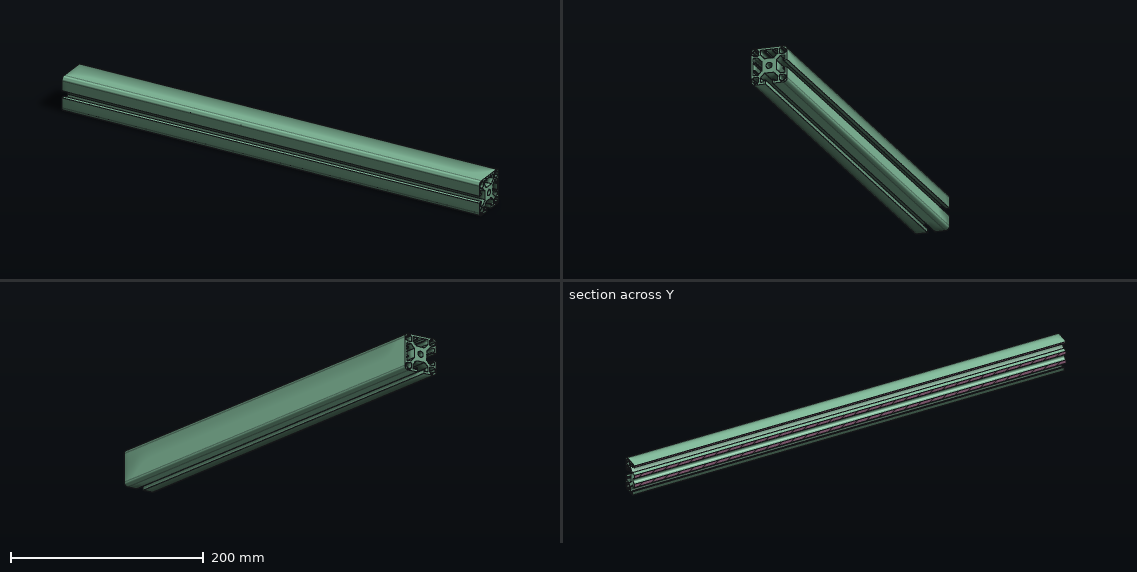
import cadquery as cq

length = 500.0
side = 40.0
half = side / 2
corner_radius = 4.5

wall = 2.5
mouth_half = 4.0
hook_width = 1.5
hook_depth = 2.0
slot_half = 9.5
slot_floor = 8.0
floor_half = 5.0
slot_ceiling = half - wall
slot_corner_radius = 1.0

bore_diameter = 6.5
channel_inner = 11.5
channel_outer = half - wall
channel_size = channel_outer - channel_inner
channel_center = (channel_outer + channel_inner) / 2
channel_radius = 1.5
groove_width = 3.0
groove_end = 18.5

OPEN_SLOTS = (90, 180)
CLOSED_SLOTS = (0, 270)


def extrusion(sketch):
    return sketch.extrude(length)


def bar(y, z, width, height):
    return extrusion(cq.Workplane("YZ").center(y, z).rect(width, height))


def slot_cutter(is_open):
    """Slot facing +Z, with the two hooks left standing under its outer wall."""
    hook_outer = mouth_half + hook_width
    hook_tip = slot_ceiling - hook_depth
    shoulder = slot_floor + slot_half - floor_half
    mouth_top = half if is_open else slot_ceiling
    right_side = [
        (floor_half, slot_floor),
        (slot_half, shoulder),
        (slot_half, slot_ceiling),
        (hook_outer, slot_ceiling),
        (hook_outer, hook_tip),
        (mouth_half, hook_tip),
        (mouth_half, mouth_top),
    ]
    left_side = [(-y, z) for y, z in reversed(right_side)]
    cutter = extrusion(cq.Workplane("YZ").polyline(right_side + left_side).close())
    for y in (-slot_half, slot_half):
        corner = cq.selectors.NearestToPointSelector((length / 2, y, slot_ceiling))
        cutter = cutter.edges(corner).fillet(slot_corner_radius)
    return cutter


def corner_channel():
    """Rounded square channel with a groove in each of its two outer walls."""
    channel = bar(channel_center, channel_center, channel_size, channel_size)
    channel = channel.edges("|X").fillet(channel_radius)
    groove_length = groove_end - channel_center
    groove_middle = channel_center + groove_length / 2
    top_groove = bar(channel_center, groove_middle, groove_width, groove_length)
    side_groove = bar(groove_middle, channel_center, groove_length, groove_width)
    return channel.union(top_groove).union(side_groove)


body = bar(0, 0, side, side).edges("|X").fillet(corner_radius)
for angle in OPEN_SLOTS + CLOSED_SLOTS:
    cutter = slot_cutter(angle in OPEN_SLOTS)
    body = body.cut(cutter.rotate((0, 0, 0), (1, 0, 0), angle))
    body = body.cut(corner_channel().rotate((0, 0, 0), (1, 0, 0), angle))
body = body.cut(extrusion(cq.Workplane("YZ").circle(bore_diameter / 2)))

result = body.translate((-length / 2, 0, 0))